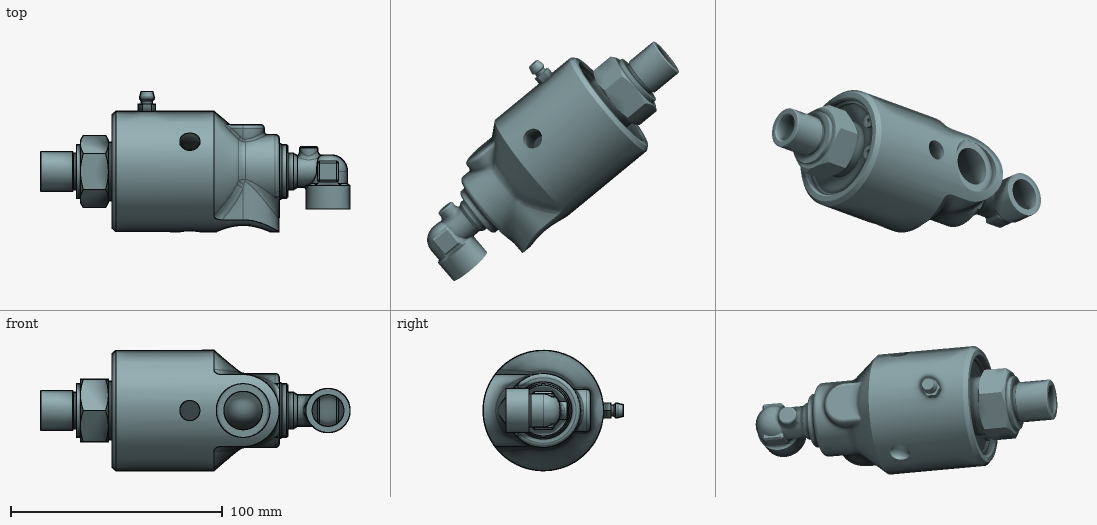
import math

import cadquery as cq


OVERALL_LENGTH = 146.52
CLEARANCE = 1.0

THREAD_DIA = 19.05
THREAD_END = 15.6
THREAD_CHAMFER = 0.4
RELIEF_DIA = 17.48
RELIEF_END = 17.1
FLANGE_DIA = 25.4
FLANGE_END = 19.0
HEX_ACROSS_FLATS = 29.6
HEX_END = 32.2
HEX_CHAMFER_DEPTH = 1.3
NECK_DIA = 27.8
SPINDLE_BORE_DIA = 12.7
SPINDLE_MOUTH_DIA = 13.89
SPINDLE_BORE_END = 100.0

HOUSING_START = 33.8
HOUSING_DIA = 57.0
RIM_CHAMFER_LENGTH = 2.0
RIM_CHAMFER_DEPTH = 1.7
CONE_START = 82.1
CONE_END = 95.1
REAR_DIA = 35.0
REAR_END = 113.0
REAR_FILLET = 2.0
ROUNDING_LIMIT = 12.0
WAIST_FILLET = 5.0

BLANK_RADIUS = 36.0
CONE_SLOPE = (HOUSING_DIA - REAR_DIA) / 2 / (CONE_END - CONE_START)
BLANK_START = CONE_END - (BLANK_RADIUS - REAR_DIA / 2) / CONE_SLOPE
BLANK_END = REAR_END + 6.0

RECESS_DIA = 47.07
RECESS_MOUTH_DIA = 48.6
RECESS_MOUTH_CHAMFER = 0.8
RECESS_DEPTH = 4.0
RING_THICKNESS = 1.5
RING_INNER_DIA = 44.4
LUG_HOLE_DIA = 2.64
LUG_OUTER_DIA = 6.2
LUG_Y = -18.2
LUG_Z = 8.05

PORT_X = 95.9
PORT_BOSS_DIA = 34.0
PORT_DIA = 18.2
SPOTFACE_DIA = 25.4
SPOTFACE_Y = -25.4
INNER_TUBE_DIA = 19.0
BACK_BOSS_DIA = 20.0
BACK_BOSS_TOP = 22.2
BACK_BOSS_FILLET = 1.8
PORT_BLEND = 5.0
BACK_BLEND = 1.5
BLEND_MARGIN = 2.0

WEEP_HOLE_DIA = 9.53
WEEP_HOLE_X = 70.7
WEEP_HOLE_DEPTH = 16.0
WEEP_HOLE_COUNT = 3

NIPPLE_X = 50.4
NIPPLE_HEX_FLATS = 7.2
NIPPLE_HEX_TOP = 31.9
NIPPLE_WAIST_DIA = 5.36
NIPPLE_WAIST_TOP = 33.4
NIPPLE_HEAD_DIA = 7.0
NIPPLE_HEAD_BOTTOM = 34.2
NIPPLE_HEAD_TOP = 35.2
NIPPLE_TIP_DIA = 5.6
NIPPLE_TIP = 37.91

COVER_DIA = 25.4
COVER_ROOT_DIA = 27.0
COVER_ROOT_END = 114.3
COVER_END = 117.1
COVER_CHAMFER = 0.7
COLLAR_DIA = 17.48
COLLAR_END = 119.7
COLLAR_TAPER_END = 121.5
TUBE_DIA = 15.0

SOCKET_DIA = 21.0
SOCKET_X = OVERALL_LENGTH - SOCKET_DIA / 2
SOCKET_END_Y = -17.75
SOCKET_TOP_Y = -6.7
SOCKET_BORE_DIA = 15.0
SOCKET_BORE_END_Y = -1.0
LEG_DIA = 18.5
LEG_SHOULDER_Y = -5.8
DOME_RADIUS = 7.9
BLOCK_SIDE = 10.0
BLOCK_CHAMFER = 0.9
BLOCK_HALF_HEIGHT = 9.0
SIDE_BOSS_X = 126.9
SIDE_BOSS_DIA = 8.6
SIDE_BOSS_TOP = 11.7
SIDE_BOSS_CHAMFER = 0.5
SIDE_BOSS_FILLET = 2.5
SOCKET_FILLET = 1.0


def turned_about_x(outline):
    """Solid of revolution about X from (x, radius) points."""
    return cq.Workplane("XY").polyline(outline).close().revolve(360, (0, 0, 0), (1, 0, 0))


def rod_x(diameter, start, end):
    return cq.Workplane("YZ").workplane(offset=start).circle(diameter / 2).extrude(end - start)


def rod_y(diameter, x, start, end):
    """Cylinder parallel to Y at (x, z = 0)."""
    return cq.Workplane("XZ", origin=(x, start, 0)).circle(diameter / 2).extrude(start - end)


def tongue_y(diameter, start, end):
    """Tongue along Y: straight sides running out of the cone, half round about the port axis."""
    radius = diameter / 2
    return (
        cq.Workplane("XZ", origin=(0, start, 0))
        .moveTo(BLANK_START, radius)
        .lineTo(PORT_X, radius)
        .threePointArc((PORT_X + radius, 0), (PORT_X, -radius))
        .lineTo(BLANK_START, -radius)
        .close()
        .extrude(start - end)
    )


def centred_in(x_range, y_range):
    """Selector for edges whose centre lies inside the given X and Y ranges."""
    return cq.selectors.BoxSelector(
        (x_range[0], y_range[0], -BLANK_RADIUS),
        (x_range[1], y_range[1], BLANK_RADIUS),
    )


def make_spindle():
    tip_radius = THREAD_DIA / 2 - THREAD_CHAMFER
    outline = [
        (0, 0),
        (0, tip_radius),
        (THREAD_CHAMFER, THREAD_DIA / 2),
        (THREAD_END - THREAD_CHAMFER, THREAD_DIA / 2),
        (THREAD_END, RELIEF_DIA / 2),
        (RELIEF_END, RELIEF_DIA / 2),
        (RELIEF_END, FLANGE_DIA / 2),
        (FLANGE_END, FLANGE_DIA / 2),
        (FLANGE_END, NECK_DIA / 2),
        (HOUSING_START + RECESS_DEPTH, NECK_DIA / 2),
        (HOUSING_START + RECESS_DEPTH, 0),
    ]
    corner_radius = HEX_ACROSS_FLATS / math.sqrt(3)
    face_radius = HEX_ACROSS_FLATS / 2
    hexagon = (
        cq.Workplane("YZ")
        .workplane(offset=FLANGE_END)
        .polygon(6, 2 * corner_radius)
        .extrude(HEX_END - FLANGE_END)
    )
    chamfer_envelope = turned_about_x([
        (FLANGE_END, 0),
        (FLANGE_END, face_radius),
        (FLANGE_END + HEX_CHAMFER_DEPTH, corner_radius),
        (HEX_END - HEX_CHAMFER_DEPTH, corner_radius),
        (HEX_END, face_radius),
        (HEX_END, 0),
    ])
    return turned_about_x(outline).union(hexagon.intersect(chamfer_envelope))


def make_barrel():
    radius = HOUSING_DIA / 2
    return turned_about_x([
        (HOUSING_START, 0),
        (HOUSING_START, radius - RIM_CHAMFER_DEPTH),
        (HOUSING_START + RIM_CHAMFER_LENGTH, radius),
        (CONE_START, radius),
        (CONE_START, 0),
    ])


def make_rear_block():
    """Cone and neck with both bosses, blended oversize and then trimmed to the housing outline."""
    blank = turned_about_x([
        (BLANK_START, 0),
        (BLANK_START, BLANK_RADIUS),
        (CONE_END, REAR_DIA / 2),
        (BLANK_END, REAR_DIA / 2),
        (BLANK_END, 0),
    ])
    waist = centred_in((CONE_END - CLEARANCE, CONE_END + CLEARANCE), (-CLEARANCE, CLEARANCE))
    blank = blank.edges(waist).edges("%CIRCLE").fillet(WAIST_FILLET)
    back_boss = tongue_y(BACK_BOSS_DIA, BACK_BOSS_TOP, 0).faces(">Y").edges().fillet(BACK_BOSS_FILLET)
    blank = blank.union(tongue_y(PORT_BOSS_DIA, 0, -BLANK_RADIUS - CLEARANCE)).union(back_boss)

    port_junction = centred_in((BLANK_START, BLANK_END - CLEARANCE), (-BLANK_RADIUS, -BLEND_MARGIN))
    blank = blank.edges(port_junction).edges("%BSPLINE or %HYPERBOLA").fillet(PORT_BLEND)
    back_junction = centred_in(
        (BLANK_START, BLANK_END - CLEARANCE),
        (BACK_BOSS_DIA / 2, BACK_BOSS_TOP + CLEARANCE),
    )
    blank = blank.edges(back_junction).edges("%BSPLINE or %HYPERBOLA").fillet(BACK_BLEND)
    return blank.intersect(rod_x(HOUSING_DIA, CONE_START, REAR_END))


def round_rear_edge(block):
    """Round the rear edge of the neck, except on the port side where the port boss covers it."""
    rounding = turned_about_x([
        (REAR_END - REAR_FILLET, REAR_DIA / 2 - REAR_FILLET),
        (REAR_END - REAR_FILLET, HOUSING_DIA / 2),
        (REAR_END, HOUSING_DIA / 2),
        (REAR_END, REAR_DIA / 2 - REAR_FILLET),
    ])
    kept_core = rod_x(REAR_DIA, REAR_END - 2 * REAR_FILLET, REAR_END).faces(">X").edges().fillet(REAR_FILLET)
    port_side = cq.Workplane("XY").box(
        4 * REAR_FILLET, HOUSING_DIA, HOUSING_DIA, centered=(True, False, True)
    ).translate((REAR_END, -HOUSING_DIA - ROUNDING_LIMIT, 0))
    return block.cut(rounding.cut(kept_core).cut(port_side))


def cut_recess(body):
    """Front recess around the spindle neck."""
    end = HOUSING_START + RECESS_DEPTH
    recess = turned_about_x([
        (HOUSING_START, NECK_DIA / 2),
        (HOUSING_START, RECESS_MOUTH_DIA / 2),
        (HOUSING_START + RECESS_MOUTH_CHAMFER, RECESS_DIA / 2),
        (end, RECESS_DIA / 2),
        (end, NECK_DIA / 2),
    ])
    return body.cut(recess)


def make_retaining_ring():
    """Open ring seated on the recess floor, with two drilled lugs beside its gap."""
    floor_x = HOUSING_START + RECESS_DEPTH
    start = floor_x - RING_THICKNESS
    ring = rod_x(RECESS_DIA, start, floor_x).cut(rod_x(RING_INNER_DIA, start, floor_x))
    gap = cq.Workplane("XY").box(
        RING_THICKNESS, RECESS_DIA / 2, 2 * LUG_Z, centered=(False, False, True)
    ).translate((start, -RECESS_DIA / 2, 0))
    ring = ring.cut(gap)
    envelope = rod_x(RECESS_DIA, start, floor_x)
    for side in (1, -1):
        centre = (start, LUG_Y, side * LUG_Z)
        plane = cq.Workplane("YZ", origin=centre)
        lug = plane.circle(LUG_OUTER_DIA / 2).extrude(RING_THICKNESS)
        web = plane.center(-LUG_OUTER_DIA / 2, 0).rect(LUG_OUTER_DIA, LUG_OUTER_DIA).extrude(RING_THICKNESS)
        hole = plane.circle(LUG_HOLE_DIA / 2).extrude(RING_THICKNESS)
        ring = ring.union(lug.union(web).intersect(envelope)).cut(hole)
    return ring


def cut_port(body):
    """Spot-faced port that stops on the outside of the inner tube."""
    spotface = rod_y(SPOTFACE_DIA, PORT_X, SPOTFACE_Y, -HOUSING_DIA / 2)
    bore = rod_y(PORT_DIA, PORT_X, 0, -HOUSING_DIA / 2)
    bore = bore.cut(rod_x(INNER_TUBE_DIA, CONE_START, REAR_END))
    return body.cut(spotface).cut(bore)


def cut_weep_holes(body):
    radius = HOUSING_DIA / 2
    hole = rod_y(WEEP_HOLE_DIA, WEEP_HOLE_X, WEEP_HOLE_DEPTH - radius, -radius - CLEARANCE)
    for index in range(WEEP_HOLE_COUNT):
        body = body.cut(hole.rotate((0, 0, 0), (1, 0, 0), index * 360 / WEEP_HOLE_COUNT))
    return body


def cut_spindle_bore(body):
    mouth_depth = (SPINDLE_MOUTH_DIA - SPINDLE_BORE_DIA) / 2
    return body.cut(turned_about_x([
        (0, 0),
        (0, SPINDLE_MOUTH_DIA / 2),
        (mouth_depth, SPINDLE_BORE_DIA / 2),
        (SPINDLE_BORE_END, SPINDLE_BORE_DIA / 2),
        (SPINDLE_BORE_END, 0),
    ]))


def make_nipple():
    root_y = HOUSING_DIA / 2 - CLEARANCE
    hexagon = (
        cq.Workplane("XZ", origin=(NIPPLE_X, root_y, 0))
        .polygon(6, NIPPLE_HEX_FLATS * 2 / math.sqrt(3))
        .extrude(root_y - NIPPLE_HEX_TOP)
    )
    head = (
        cq.Workplane("XY", origin=(NIPPLE_X, 0, 0))
        .polyline([
            (0, root_y),
            (NIPPLE_WAIST_DIA / 2, root_y),
            (NIPPLE_WAIST_DIA / 2, NIPPLE_WAIST_TOP),
            (NIPPLE_HEAD_DIA / 2, NIPPLE_HEAD_BOTTOM),
            (NIPPLE_HEAD_DIA / 2, NIPPLE_HEAD_TOP),
            (NIPPLE_TIP_DIA / 2, NIPPLE_TIP),
            (0, NIPPLE_TIP),
        ])
        .close()
        .revolve(360, (0, 0, 0), (0, 1, 0))
    )
    return hexagon.union(head)


def make_cover():
    root_x = REAR_END - REAR_FILLET
    return turned_about_x([
        (root_x, 0),
        (root_x, COVER_ROOT_DIA / 2),
        (REAR_END, COVER_ROOT_DIA / 2),
        (COVER_ROOT_END, COVER_DIA / 2),
        (COVER_END - COVER_CHAMFER, COVER_DIA / 2),
        (COVER_END, COVER_DIA / 2 - COVER_CHAMFER),
        (COVER_END, COLLAR_DIA / 2),
        (COLLAR_END, COLLAR_DIA / 2),
        (COLLAR_TAPER_END, TUBE_DIA / 2),
        (COLLAR_TAPER_END, 0),
    ])


def make_elbow():
    tube = rod_x(TUBE_DIA, COLLAR_TAPER_END, SOCKET_X)
    side_boss = rod_y(SIDE_BOSS_DIA, SIDE_BOSS_X, SIDE_BOSS_TOP, 0).faces(">Y").chamfer(SIDE_BOSS_CHAMFER)
    dome_flat = LEG_DIA / 2 - DOME_RADIUS
    diagonal = DOME_RADIUS * math.sqrt(0.5)
    leg = (
        cq.Workplane("XY", origin=(SOCKET_X, 0, 0))
        .moveTo(0, DOME_RADIUS)
        .lineTo(dome_flat, DOME_RADIUS)
        .threePointArc((dome_flat + diagonal, diagonal), (LEG_DIA / 2, 0))
        .lineTo(LEG_DIA / 2, LEG_SHOULDER_Y)
        .lineTo(SOCKET_DIA / 2, SOCKET_TOP_Y)
        .lineTo(SOCKET_DIA / 2, SOCKET_END_Y)
        .lineTo(0, SOCKET_END_Y)
        .close()
        .revolve(360, (0, 0, 0), (0, 1, 0))
    )
    leg_height = DOME_RADIUS - SOCKET_TOP_Y
    leg_slab = cq.Workplane("XY", origin=(SOCKET_X, SOCKET_TOP_Y, 0)).box(
        SOCKET_DIA, leg_height, 2 * DOME_RADIUS, centered=(True, False, True)
    )
    leg = leg.intersect(leg_slab.union(rod_y(SOCKET_DIA, SOCKET_X, SOCKET_TOP_Y, SOCKET_END_Y)))
    bore = rod_y(SOCKET_BORE_DIA, SOCKET_X, SOCKET_BORE_END_Y, SOCKET_END_Y)
    block = (
        cq.Workplane("XY", origin=(SOCKET_X, 0, 0))
        .rect(BLOCK_SIDE, BLOCK_SIDE)
        .extrude(BLOCK_HALF_HEIGHT, both=True)
        .edges()
        .chamfer(BLOCK_CHAMFER)
    )
    boss_junction = centred_in((SIDE_BOSS_X - SIDE_BOSS_DIA, SIDE_BOSS_X + SIDE_BOSS_DIA), (0, TUBE_DIA / 2))
    tube = tube.union(side_boss).edges(boss_junction).edges("%BSPLINE").fillet(SIDE_BOSS_FILLET)
    socket_left = SOCKET_X - SOCKET_DIA / 2
    socket_junction = centred_in((socket_left, socket_left + CLEARANCE), (-TUBE_DIA / 2, SOCKET_TOP_Y))
    elbow = tube.union(leg).edges(socket_junction).edges("%BSPLINE").fillet(SOCKET_FILLET)
    return elbow.cut(bore).union(block)


body = make_barrel().union(round_rear_edge(make_rear_block())).union(make_spindle())
body = cut_recess(body).union(make_retaining_ring())
body = cut_spindle_bore(cut_weep_holes(cut_port(body)))
result = body.union(make_nipple()).union(make_cover()).union(make_elbow())